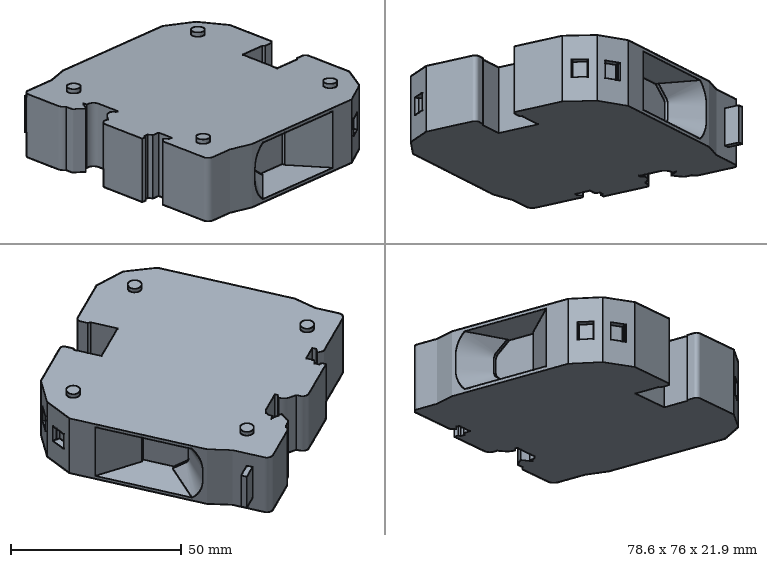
import cadquery as cq
import math


half_width = 37.9
height = 76.0
thickness = 20.5
mid_z = thickness / 2

facet_corner = 13.95
facet_angle = 30.0
facet_cos = math.cos(math.radians(facet_angle))
facet_sin = math.sin(math.radians(facet_angle))
facet_length = facet_corner / (facet_cos + facet_sin)

slot_half_width = 6.95
slot_floor_y = 63.25
slot_lip_half_width = 6.35
slot_lip_y = 72.3
slot_lip_radius = 1.3

taper_top_y = 19.2
taper_bottom_y = 12.0
foot_half_width = 35.77
foot_radius = 2.0

right_foot_y = 2.75
rail_seat_y = 6.4
hook_tip_y = 4.25
left_recess_roof_y = 9.25
left_recess_corner = (-16.5, left_recess_roof_y)
left_recess_radius = 2.2
cam_corner = (-7.8, 5.65)
cam_radius = 3.3
centre_foot_x = -4.9
centre_foot_end_x = 11.82
left_recess_right_x = -6.7
right_notch_x = 11.0
right_slot_left_x = 12.4
right_slot_right_x = 17.65
left_foot_end = (-20.75, 0)
left_foot_end_radius = 2.4
left_hook_corner = (-17.35, 1.15)
right_hook_corner = (17.35, right_foot_y)
hook_radius = 0.8

pin_diameter = 4.1
pin_height = 1.4
pin_centres = [(-26.5, 65.0), (26.5, 65.0), (-25.95, 11.0), (25.95, 11.0)]

tab_reach = 40.72
tab_y = (5.7, 7.5)
tab_z = (4.3, 15.9)

window_length = 4.9
window_height = 5.5
window_ledge_depth = 1.25
window_ledge_width = 0.3
window_depth = 2.3

mouth_top_y = 54.0
mouth_bottom_y = 20.5
mouth_half_z = 9.1
floor_top_y = 42.55
floor_bottom_y = 28.05
floor_half_z = 7.05
end_half_z = 2.05
end_turn = math.radians(51.0)
floor_end_radius = 2.1
funnel_depth = 8.6
well_depth = 1.0


def lower_edge():
    """Corner points of the rail side, from left to right."""
    return [
        (-foot_half_width, 0),
        left_foot_end,
        (-19.85, left_hook_corner[1]),
        left_hook_corner,
        (-14.75, hook_tip_y),
        (-17.9, rail_seat_y),
        (left_recess_corner[0], rail_seat_y),
        left_recess_corner,
        (left_recess_right_x, left_recess_roof_y),
        (left_recess_right_x, 8.4),
        (cam_corner[0], 7.7),
        cam_corner,
        (centre_foot_x, 3.2),
        (centre_foot_x, 0),
        (centre_foot_end_x, 0),
        (centre_foot_end_x, 1.55),
        (right_notch_x, 1.8),
        (right_notch_x, 3.25),
        (right_slot_left_x, 3.95),
        (right_slot_left_x, rail_seat_y),
        (right_slot_right_x, rail_seat_y),
        (right_slot_right_x, 5.2),
        (16.2, hook_tip_y),
        right_hook_corner,
        (foot_half_width, right_foot_y),
    ]


def right_side_and_slot():
    """Corner points up the right side and down into the right half of the top slot."""
    return [
        (foot_half_width, taper_bottom_y),
        (half_width, taper_top_y),
        (half_width, height - facet_corner),
        (half_width - facet_length * facet_sin, height - facet_length * facet_sin),
        (half_width - facet_corner, height),
        (slot_lip_half_width, height),
        (slot_lip_half_width, slot_lip_y),
        (slot_half_width, slot_lip_y - (slot_half_width - slot_lip_half_width)),
        (slot_half_width, slot_floor_y),
    ]


def mirrored(points):
    return [(-x, y) for x, y in reversed(points)]


def make_housing():
    side = right_side_and_slot()
    outline = lower_edge() + side + mirrored(side)
    housing = cq.Workplane("XY").polyline(outline).close().extrude(thickness)
    rounded_corners = [
        ((slot_lip_half_width, height), slot_lip_radius),
        ((-slot_lip_half_width, height), slot_lip_radius),
        ((-foot_half_width, 0), foot_radius),
        ((centre_foot_x, 0), foot_radius),
        ((foot_half_width, right_foot_y), foot_radius),
        (left_recess_corner, left_recess_radius),
        (cam_corner, cam_radius),
        (left_foot_end, left_foot_end_radius),
        (left_hook_corner, hook_radius),
        (right_hook_corner, hook_radius),
    ]
    for (x, y), radius in rounded_corners:
        corner = cq.selectors.NearestToPointSelector((x, y, mid_z))
        housing = housing.edges("|Z").edges(corner).fillet(radius)
    return housing


def make_pins():
    return (
        cq.Workplane("XY", origin=(0, 0, thickness))
        .pushPoints(pin_centres)
        .circle(pin_diameter / 2)
        .extrude(pin_height)
    )


def make_tab():
    length = tab_reach - foot_half_width
    tab = cq.Workplane("XY").box(length, tab_y[1] - tab_y[0], tab_z[1] - tab_z[0], centered=False)
    return tab.translate((-tab_reach, tab_y[0], tab_z[0]))


def window_cutter():
    """Stepped block centred on the window opening, lengthwise along X and sunk along Y."""
    outer = cq.Workplane("XY").box(window_length, 2 * window_ledge_depth, window_height)
    inner_length = window_length - 2 * window_ledge_width
    return outer.union(cq.Workplane("XY").box(inner_length, 2 * window_depth, window_height))


def make_windows():
    """Cutters for the two left windows, each square to its facet and centred on it."""
    knee_x = -half_width + facet_length * facet_sin
    knee_y = height - facet_length * facet_sin
    half_run = facet_length / 2
    centres = [
        (knee_x - half_run * facet_sin, knee_y - half_run * facet_cos, 90 - facet_angle),
        (knee_x + half_run * facet_cos, knee_y + half_run * facet_sin, facet_angle),
    ]
    cutters = cq.Workplane("XY")
    for x, y, angle in centres:
        turned = window_cutter().rotate((0, 0, 0), (0, 0, 1), angle)
        cutters = cutters.add(turned.translate((x, y, mid_z)))
    return cutters.combine()


def end_arc(x, end_y, radius, side):
    """Arc at the lower end of the funnel, leaving the flat end tangentially."""

    def arc_point(turn):
        y = end_y + radius * (1 - math.cos(turn))
        z = mid_z + side * (end_half_z + radius * math.sin(turn))
        return cq.Vector(x, y, z)

    return cq.Edge.makeThreePointArc(arc_point(0), arc_point(end_turn / 2), arc_point(end_turn))


def polygon(*points):
    return cq.Face.makeFromWires(cq.Wire.makePolygon(points, close=True))


def make_funnel():
    """Cutter for the left cable funnel: sloping walls down to a short straight well."""
    mouth_x = -half_width
    floor_x = mouth_x + funnel_depth
    mouth_end_radius = (mouth_half_z - end_half_z) / math.sin(end_turn)
    floor_arc_half_z = end_half_z + floor_end_radius * math.sin(end_turn)
    floor_knee_y = (
        floor_bottom_y
        + floor_end_radius * (1 - math.cos(end_turn))
        + (floor_half_z - floor_arc_half_z) * math.tan(end_turn)
    )

    faces = []
    mouth_edges = []
    floor_edges = []
    mouth_tops = []
    floor_tops = []
    mouth_ends = []
    floor_ends = []
    for side in (-1, 1):
        mouth_top = cq.Vector(mouth_x, mouth_top_y, mid_z + side * mouth_half_z)
        floor_top = cq.Vector(floor_x, floor_top_y, mid_z + side * floor_half_z)
        floor_knee = cq.Vector(floor_x, floor_knee_y, mid_z + side * floor_half_z)
        mouth_arc = end_arc(mouth_x, mouth_bottom_y, mouth_end_radius, side)
        floor_arc = end_arc(floor_x, floor_bottom_y, floor_end_radius, side)
        mouth_knee = mouth_arc.endPoint()
        faces += [
            polygon(mouth_top, mouth_knee, floor_knee, floor_top),
            polygon(mouth_knee, floor_arc.endPoint(), floor_knee),
            cq.Face.makeRuledSurface(mouth_arc, floor_arc),
        ]
        mouth_edges += [mouth_arc, cq.Edge.makeLine(mouth_knee, mouth_top)]
        floor_edges += [
            floor_arc,
            cq.Edge.makeLine(floor_arc.endPoint(), floor_knee),
            cq.Edge.makeLine(floor_knee, floor_top),
        ]
        mouth_tops.append(mouth_top)
        floor_tops.append(floor_top)
        mouth_ends.append(mouth_arc.startPoint())
        floor_ends.append(floor_arc.startPoint())

    faces.append(polygon(*mouth_tops, *reversed(floor_tops)))
    faces.append(polygon(*mouth_ends, *reversed(floor_ends)))
    mouth_edges += [cq.Edge.makeLine(*mouth_tops), cq.Edge.makeLine(*mouth_ends)]
    floor_edges += [cq.Edge.makeLine(*floor_tops), cq.Edge.makeLine(*floor_ends)]
    mouth = cq.Face.makeFromWires(cq.Wire.combine(mouth_edges)[0])
    floor = cq.Face.makeFromWires(cq.Wire.combine(floor_edges)[0])
    taper = cq.Solid.makeSolid(cq.Shell.makeShell(faces + [mouth, floor])).fix()
    well = cq.Solid.extrudeLinear(floor, cq.Vector(well_depth, 0, 0))
    return cq.Workplane("XY").add(taper), cq.Workplane("XY").add(well)


result = make_housing().union(make_pins()).union(make_tab())
for cutter in (make_windows(), *make_funnel()):
    result = result.cut(cutter).cut(cutter.mirror("YZ"))